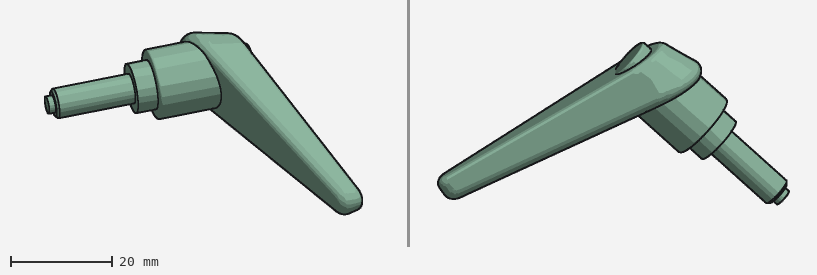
import cadquery as cq
import math


HUB_RADIUS = 7.05
HUB_EDGE_FILLET = 0.45
BUTTON_RADIUS = 4.45
BUTTON_TOP = 20.4

LEVER_BASE = 5.9
LEVER_TOP = 32.2
DRAFT_ANGLE = 12.0
HEAD_RADIUS = 9.45
TIP_RADIUS = 7.7
TIP_X = 42.05
TOP_SLOPE = 15.0
TOP_HEIGHT = 19.45
BOTTOM_SLOPE = 20.0
BOTTOM_HEIGHT = 9.85
UPPER_FILLET = 1.5
LOWER_FILLET = 2.0

COLLAR_RADIUS = 5.0
COLLAR_LENGTH = 4.1
STUD_RADIUS = 3.0
STUD_LENGTH = 16.0
STUD_CHAMFER = 0.5
PILOT_RADIUS = 1.75
PILOT_LENGTH = 1.3


def cylinder(radius, start, end):
    """Cylinder on the Y axis, running from height start up to height end."""
    solid = cq.Solid.makeCylinder(radius, end - start, cq.Vector(0, start, 0), cq.Vector(0, 1, 0))
    return cq.Workplane(solid)


def plan_outline(height):
    """Wire of two circles joined by tangent lines, smaller at greater height by the draft."""
    inset = (height - LEVER_BASE) * math.tan(math.radians(DRAFT_ANGLE))
    head_radius = HEAD_RADIUS - inset
    tip_radius = TIP_RADIUS - inset
    tangent_sine = (head_radius - tip_radius) / TIP_X
    tangent_cosine = math.sqrt(1 - tangent_sine**2)
    head_x = head_radius * tangent_sine
    head_z = head_radius * tangent_cosine
    tip_x = TIP_X + tip_radius * tangent_sine
    tip_z = tip_radius * tangent_cosine
    plan = cq.Plane(origin=(0, height, 0), xDir=(1, 0, 0), normal=(0, 1, 0))
    outline = (
        cq.Workplane(plan)
        .moveTo(head_x, head_z)
        .lineTo(tip_x, tip_z)
        .threePointArc((TIP_X + tip_radius, 0), (tip_x, -tip_z))
        .lineTo(head_x, -head_z)
        .threePointArc((-head_radius, 0), (head_x, head_z))
        .close()
    )
    return outline.wires().val()


def lever_blank():
    """Straight-sided blank with drafted walls, from the base outline to the top outline."""
    outlines = [plan_outline(LEVER_BASE), plan_outline(LEVER_TOP)]
    return cq.Workplane(cq.Solid.makeLoft(outlines, True))


def side_wedge():
    """Space between the two sloping planes, wider than the lever on every side."""
    left = -2 * HEAD_RADIUS
    right = TIP_X + 2 * TIP_RADIUS
    top_rise = math.tan(math.radians(TOP_SLOPE))
    bottom_rise = math.tan(math.radians(BOTTOM_SLOPE))
    return (
        cq.Workplane("XY")
        .moveTo(left, BOTTOM_HEIGHT + left * bottom_rise)
        .lineTo(right, BOTTOM_HEIGHT + right * bottom_rise)
        .lineTo(right, TOP_HEIGHT + right * top_rise)
        .lineTo(left, TOP_HEIGHT + left * top_rise)
        .close()
        .extrude(2 * HEAD_RADIUS, both=True)
    )


def slope_normal(slope):
    """Upward normal of a plane rising towards +X at the given angle."""
    angle = math.radians(slope)
    return cq.Vector(-math.sin(angle), math.cos(angle), 0)


def make_lever():
    """Blank trimmed between the sloping planes, with both rims rounded."""
    upper_face = cq.selectors.DirectionMinMaxSelector(slope_normal(TOP_SLOPE), True)
    lower_face = cq.selectors.DirectionMinMaxSelector(slope_normal(BOTTOM_SLOPE), False)
    lever = lever_blank().intersect(side_wedge())
    lever = lever.faces(upper_face).edges().fillet(UPPER_FILLET)
    return lever.faces(lower_face).edges().fillet(LOWER_FILLET)


def make_handle():
    """Lever with its hub below and the round button standing out of its upper face."""
    hub_top = BOTTOM_HEIGHT + HUB_RADIUS * math.tan(math.radians(BOTTOM_SLOPE))
    hub = cylinder(HUB_RADIUS, 0, hub_top).faces("<Y").edges().fillet(HUB_EDGE_FILLET)
    button = cylinder(BUTTON_RADIUS, BOTTOM_HEIGHT, BUTTON_TOP).faces(">Y").edges().fillet(HUB_EDGE_FILLET)
    return make_lever().union(hub).union(button)


def make_insert():
    """Collar seated against the hub, with a plain stud and its pilot end below."""
    stud_end = -COLLAR_LENGTH - STUD_LENGTH
    collar = cylinder(COLLAR_RADIUS, -COLLAR_LENGTH, 0)
    stud = cylinder(STUD_RADIUS, stud_end, -COLLAR_LENGTH).faces("<Y").chamfer(STUD_CHAMFER)
    pilot = cylinder(PILOT_RADIUS, stud_end - PILOT_LENGTH, stud_end)
    return collar.union(stud).union(pilot)


handle = make_handle()
insert = make_insert()
result = cq.Compound.makeCompound([handle.val(), insert.val()])